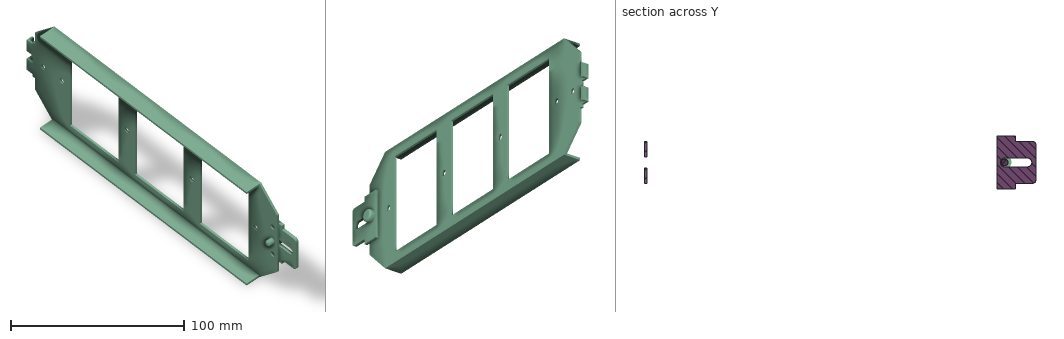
import cadquery as cq


overall_length = 226.3
overall_depth = 16.88

sheet = 1.5
plate_length = 205.0
plate_width = 76.0
corner_cut = 15.0
flange_length = plate_length - 2 * corner_cut
flange_depth = 11.5

window_length = 41.0
window_width = 62.0
window_pitch = 55.0
window_offset = 2.7
window_count = 3

hole_diameter = 3.6
left_hole_x = -95.5
right_hole_x = 84.4

shoulder_reach = 2.0
shoulder_width = 28.0
hook_reach = 7.0
hook_outer_width = 24.4
hook_gap = 6.2
hook_rise = 2.8

bracket_thickness = 2.0
bracket_base_start = 94.0
bracket_base_end = 105.0
bracket_base_width = 31.0
tongue_end = overall_length - hook_reach - plate_length / 2
tongue_width = 24.4
tongue_rounding = 2.0
slot_width = 4.8
slot_end = 114.2

screw_x = 98.7
screw_diameter = 4.0
screw_length = 8.0
screw_tip_chamfer = 0.8
head_diameter = 8.0
head_height = overall_depth - flange_depth - bracket_thickness
head_rounding = 1.6
locating_hole_spacing = 22.0


def box(x_start, x_end, y_start, y_end, z_start, z_end):
    """Block between two opposite corners."""
    size = (x_end - x_start, y_end - y_start, z_end - z_start)
    return cq.Workplane("XY").box(*size, centered=False).translate((x_start, y_start, z_start))


def rod(x, z, diameter, y_start, y_end):
    """Round bar along Y."""
    axis_plane = cq.Workplane("XZ", origin=(x, y_end, z))
    return axis_plane.circle(diameter / 2).extrude(y_end - y_start)


def make_plate():
    blank = box(-plate_length / 2, plate_length / 2, -sheet, 0, -plate_width / 2, plate_width / 2)
    return blank.edges("|Y").chamfer(corner_cut)


def make_flange(side):
    outer = side * plate_width / 2
    inner = outer - side * sheet
    return box(-flange_length / 2, flange_length / 2, -flange_depth, 0, min(outer, inner), max(outer, inner))


def make_hooks():
    plate_end = -plate_length / 2
    tip = plate_end - hook_reach
    shoulder_end = plate_end - shoulder_reach
    shoulder = box(shoulder_end, plate_end, -sheet, 0, -shoulder_width / 2, shoulder_width / 2)
    arm = box(tip, shoulder_end, -sheet, 0, -hook_outer_width / 2, hook_outer_width / 2)
    lip = box(tip, tip + sheet, -sheet, hook_rise, -hook_outer_width / 2, hook_outer_width / 2)
    gap = box(tip, shoulder_end, -sheet, hook_rise, -hook_gap / 2, hook_gap / 2)
    return shoulder.union(arm).union(lip).cut(gap)


def make_frame():
    frame = make_plate().union(make_hooks())
    for side in (-1, 1):
        frame = frame.union(make_flange(side))

    first_window_x = window_offset - window_pitch * (window_count - 1) / 2
    for index in range(window_count):
        centre = first_window_x + index * window_pitch
        half = window_length / 2
        frame = frame.cut(
            box(centre - half, centre + half, -sheet, 0, -window_width / 2, window_width / 2)
        )

    hole_places = [(first_window_x + (index - 0.5) * window_pitch, 0) for index in range(window_count)]
    hole_places += [(left_hole_x, 0), (right_hole_x, 0)]
    hole_places += [(screw_x, side * locating_hole_spacing / 2) for side in (-1, 1)]
    for x, z in hole_places:
        frame = frame.cut(rod(x, z, hole_diameter, -sheet, 0))
    return frame.cut(rod(screw_x, 0, screw_diameter, -sheet, 0))


def make_bracket():
    half_base = bracket_base_width / 2
    base = box(bracket_base_start, bracket_base_end, 0, bracket_thickness, -half_base, half_base)
    tongue = box(bracket_base_end, tongue_end, 0, bracket_thickness, -tongue_width / 2, tongue_width / 2)
    tongue = tongue.edges("|Y and >X").fillet(tongue_rounding)
    slot_length = slot_end - screw_x + slot_width / 2
    slot_plane = cq.Workplane("XZ", origin=(slot_end - slot_length / 2, bracket_thickness, 0))
    slot = slot_plane.slot2D(slot_length, slot_width).extrude(bracket_thickness)
    return base.union(tongue).cut(slot)


def make_screw():
    head_top = bracket_thickness + head_height
    tip = bracket_thickness - screw_length
    head = rod(screw_x, 0, head_diameter, bracket_thickness, head_top).edges(">Y").fillet(head_rounding)
    shank = rod(screw_x, 0, screw_diameter, tip, bracket_thickness).edges("<Y").chamfer(screw_tip_chamfer)
    return head.union(shank)


frame = make_frame()
bracket = make_bracket()
screw = make_screw()

result = cq.Compound.makeCompound([frame.val(), bracket.val(), screw.val()])